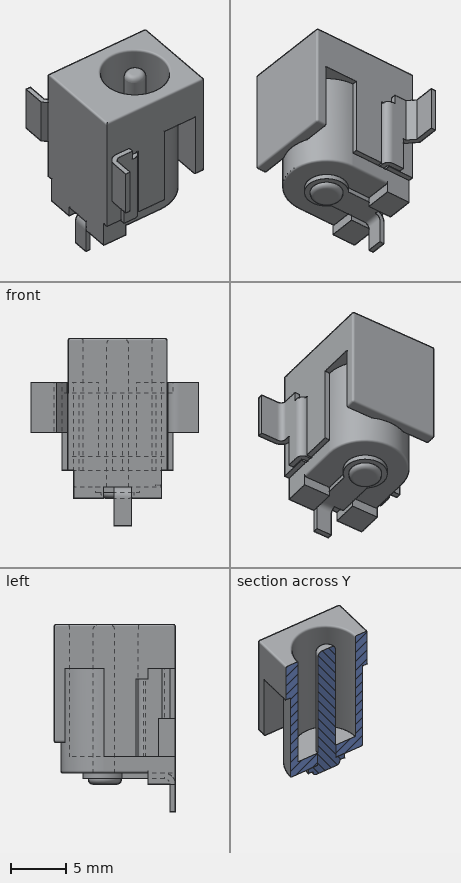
import cadquery as cq
import math


housing_width = 8.98
back_y = 4.5
front_y = -6.5
edge_radius = 0.2
window_top_z = -4.0
back_plate_thickness = 1.0
back_plate_bottom_z = -10.73
wall_bottom_z = -11.97
lower_width = 7.99
lower_back_y = 3.9
lower_bottom_z = -13.5
front_block_back_y = -4.0
front_block_bottom_z = -14.5
bore_radius = 3.13
bore_rim_radius = 0.2
notch_width = 2.55

sheet_thickness = 0.5
pin_radius = 0.99
pin_tip_radius = 0.51
terminal_y = -0.1
terminal_disc_radius = 2.0
rivet_radius = 1.5
rivet_edge_radius = 0.42
leg_width = 1.6
leg_bend_radius = 1.0
leg_bottom_z = -17.0

contact_outer_x = 5.05
contact_top_z = -3.98
contact_bar_top_z = -4.93
contact_step_y = -4.01
contact_wing_front_y = -4.98
contact_bar_back_y = -3.1
contact_bend_radius = 0.7
foot_bottom_z = -8.53
left_foot_end_x = -7.85
right_foot_end_x = 7.35
slant_start_y = -5.29
right_foot_bend_radius = 1.0
side_pocket_back_y = -2.92
side_pocket_depth = 1.0

leg_left_x = notch_width / 2 - leg_width
terminal_bottom_z = lower_bottom_z - sheet_thickness
contact_inner_x = contact_outer_x - sheet_thickness
contact_bar_front_y = contact_bar_back_y - sheet_thickness
contact_bend_start_y = contact_bar_back_y - contact_bend_radius
foot_back_y = front_y + sheet_thickness


def box(x_range, y_range, z_range):
    """Box between pairs of low and high limits."""
    sizes = [high - low for low, high in (x_range, y_range, z_range)]
    return cq.Workplane("XY").box(*sizes, centered=False).translate((x_range[0], y_range[0], z_range[0]))


def centered_box(width, y_range, z_range):
    """Box that is symmetric about the plane x = 0."""
    return box((-width / 2, width / 2), y_range, z_range)


def cylinder(radius, z_range, center_y=0):
    """Upright cylinder centered on x = 0."""
    return (
        cq.Workplane("XY", origin=(0, center_y, z_range[0]))
        .circle(radius)
        .extrude(z_range[1] - z_range[0])
    )


def arc_middle(center_x, center_y, radius, angle):
    """Point on a circle at an angle in degrees."""
    turn = math.radians(angle)
    return (center_x + radius * math.cos(turn), center_y + radius * math.sin(turn))


def upper_shell():
    """Full-width block with the back plate hanging from it."""
    shell = centered_box(housing_width, (front_y, back_y), (back_plate_bottom_z, 0))
    window = centered_box(
        housing_width, (0, back_y - back_plate_thickness), (back_plate_bottom_z, window_top_z)
    )
    shell = shell.edges("|Z and >Y").fillet(edge_radius)
    shell = shell.faces(">Z").edges().fillet(edge_radius)
    shell = shell.faces("<Z").edges(">Y").fillet(edge_radius)
    return shell.cut(window)


def lower_body():
    """Narrower barrel around the socket, round at the back and flat at the sides."""
    half_width = lower_width / 2
    return (
        cq.Workplane("XY", origin=(0, 0, lower_bottom_z))
        .moveTo(half_width, front_y)
        .lineTo(half_width, 0)
        .threePointArc((0, lower_back_y), (-half_width, 0))
        .lineTo(-half_width, front_y)
        .close()
        .extrude(window_top_z - lower_bottom_z)
        .faces("<Z")
        .edges()
        .fillet(edge_radius)
    )


def make_housing(pin, contact):
    """Shell and barrel with the socket bore, and recesses that fit the pin and the contact."""
    side_walls = centered_box(housing_width, (front_y, 0), (wall_bottom_z, window_top_z))
    front_block = centered_box(
        lower_width, (front_y, front_block_back_y), (front_block_bottom_z, wall_bottom_z)
    )
    body = upper_shell().union(side_walls).union(lower_body()).union(front_block)

    body = body.cut(cylinder(bore_radius, (wall_bottom_z, 0)))
    body = body.faces(">Z").edges("%CIRCLE").fillet(bore_rim_radius)

    notch = centered_box(
        notch_width, (front_y, front_block_back_y), (front_block_bottom_z, lower_bottom_z)
    )
    body = body.cut(notch)

    for pocket_x in (-housing_width / 2, housing_width / 2 - side_pocket_depth):
        pocket = box(
            (pocket_x, pocket_x + side_pocket_depth),
            (contact_bend_start_y, side_pocket_back_y),
            (wall_bottom_z, contact_bar_top_z),
        )
        body = body.cut(pocket)
    return body.cut(contact).cut(pin)


def make_pin():
    """Center pin riveted to a flat terminal whose leg bends down at the front."""
    post = cylinder(pin_radius, (lower_bottom_z, 0)).faces(">Z").edges().fillet(pin_tip_radius)
    rivet = (
        cylinder(rivet_radius, (front_block_bottom_z, lower_bottom_z), terminal_y)
        .faces("<Z")
        .edges()
        .fillet(rivet_edge_radius)
    )
    plate_z = (terminal_bottom_z, lower_bottom_z)
    disc = cylinder(terminal_disc_radius, plate_z, terminal_y)
    bend_start_y = front_y + leg_bend_radius
    strip = centered_box(notch_width, (bend_start_y, terminal_y), plate_z)

    bend_center_z = lower_bottom_z - leg_bend_radius
    inner_radius = leg_bend_radius - sheet_thickness
    leg = (
        cq.Workplane("YZ", origin=(leg_left_x, 0, 0))
        .moveTo(terminal_y, lower_bottom_z)
        .lineTo(bend_start_y, lower_bottom_z)
        .threePointArc(
            arc_middle(bend_start_y, bend_center_z, leg_bend_radius, 135), (front_y, bend_center_z)
        )
        .lineTo(front_y, leg_bottom_z)
        .lineTo(front_y + sheet_thickness, leg_bottom_z)
        .lineTo(front_y + sheet_thickness, bend_center_z)
        .threePointArc(
            arc_middle(bend_start_y, bend_center_z, inner_radius, 135), (bend_start_y, terminal_bottom_z)
        )
        .lineTo(terminal_y, terminal_bottom_z)
        .close()
        .extrude(leg_width)
    )
    return disc.union(strip).union(leg).union(rivet).union(post)


def contact_bar():
    """Crossbar grazing the front of the bore, bent forward into a wing at each end."""
    bend_center_x = contact_outer_x - contact_bend_radius
    inner_radius = contact_bend_radius - sheet_thickness

    def wing(side):
        return (
            cq.Workplane("XY", origin=(0, 0, wall_bottom_z))
            .moveTo(0, contact_bar_back_y)
            .lineTo(side * bend_center_x, contact_bar_back_y)
            .threePointArc(
                arc_middle(side * bend_center_x, contact_bend_start_y, contact_bend_radius, 90 - side * 45),
                (side * contact_outer_x, contact_bend_start_y),
            )
            .lineTo(side * contact_outer_x, contact_wing_front_y)
            .lineTo(side * contact_inner_x, contact_wing_front_y)
            .lineTo(side * contact_inner_x, contact_bend_start_y)
            .threePointArc(
                arc_middle(side * bend_center_x, contact_bend_start_y, inner_radius, 90 - side * 45),
                (side * bend_center_x, contact_bar_front_y),
            )
            .lineTo(0, contact_bar_front_y)
            .close()
            .extrude(contact_bar_top_z - wall_bottom_z)
        )

    return wing(-1).union(wing(1))


def left_foot():
    """Upper part of the left wing with a foot reached by a 45 degree slant."""
    slant_run = slant_start_y - foot_back_y
    corner_shift = sheet_thickness * math.tan(math.radians(22.5))
    inner_corner_y = slant_start_y - corner_shift
    inner_run = inner_corner_y - front_y
    return (
        cq.Workplane("XY", origin=(0, 0, foot_bottom_z))
        .moveTo(-contact_outer_x, contact_step_y)
        .lineTo(-contact_outer_x, slant_start_y)
        .lineTo(-contact_outer_x - slant_run, foot_back_y)
        .lineTo(left_foot_end_x, foot_back_y)
        .lineTo(left_foot_end_x, front_y)
        .lineTo(-contact_inner_x - inner_run, front_y)
        .lineTo(-contact_inner_x, inner_corner_y)
        .lineTo(-contact_inner_x, contact_step_y)
        .close()
        .extrude(contact_top_z - foot_bottom_z)
    )


def right_foot():
    """Upper part of the right wing with a foot reached by a round bend."""
    bend_x = contact_inner_x + right_foot_bend_radius
    bend_y = front_y + right_foot_bend_radius
    inner_radius = right_foot_bend_radius - sheet_thickness
    return (
        cq.Workplane("XY", origin=(0, 0, foot_bottom_z))
        .moveTo(contact_inner_x, contact_step_y)
        .lineTo(contact_inner_x, bend_y)
        .threePointArc(arc_middle(bend_x, bend_y, right_foot_bend_radius, 225), (bend_x, front_y))
        .lineTo(right_foot_end_x, front_y)
        .lineTo(right_foot_end_x, foot_back_y)
        .lineTo(bend_x, foot_back_y)
        .threePointArc(arc_middle(bend_x, bend_y, inner_radius, 225), (contact_outer_x, bend_y))
        .lineTo(contact_outer_x, contact_step_y)
        .close()
        .extrude(contact_top_z - foot_bottom_z)
    )


def make_contact():
    """Crossbar and wings with a foot on each side."""
    return contact_bar().union(left_foot()).union(right_foot())


pin = make_pin()
contact = make_contact()
housing = make_housing(pin, contact)

result = cq.Compound.makeCompound([housing.solids().val(), pin.solids().val(), contact.solids().val()])